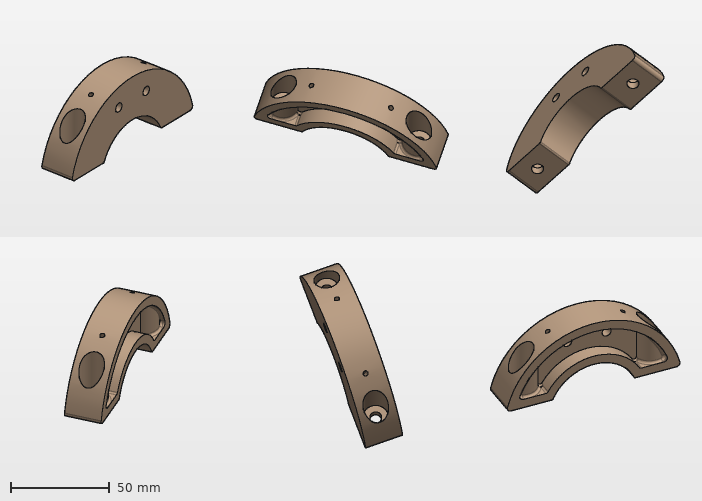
import cadquery as cq
import math

width = 20.0
height = 40.0
outer_radius = 50.0
inner_radius = outer_radius / 2
arc_center_z = height - outer_radius
outer_corner_radius = 2.0
inner_corner_radius = 1.0

wall = 5.0
pocket_depth = 7.95
pocket_outer_corner_radius = 2.0
pocket_inner_corner_radius = 1.5

screw_y = 36.0
screw_diameter = 6.0
counterbore_diameter = 13.0
counterbore_floor_z = wall
boss_wall = 2.0
boss_radius = counterbore_diameter / 2 + boss_wall
boss_fillet = 1.4

web_hole_diameter = 5.0
web_hole_y = 11.05
web_hole_z = 26.95
radial_hole_diameter = 2.5
radial_hole_angle = 25
radial_hole_depth = 2 * wall

mid_x = width / 2
tolerance = 0.001


def half_chord(radius, z):
    """Half width, along Y, of a circle about the arch axis at height z."""
    return math.sqrt(radius**2 - (z - arc_center_z) ** 2)


def arch_sector(big_radius, small_radius, floor_z, depth, outer_rounding, inner_rounding):
    """Ring segment above floor_z, extruded from X = 0, with its four corners rounded."""
    outer_y = half_chord(big_radius, floor_z)
    inner_y = half_chord(small_radius, floor_z)
    sector = (
        cq.Workplane("YZ")
        .moveTo(outer_y, floor_z)
        .threePointArc((0, arc_center_z + big_radius), (-outer_y, floor_z))
        .lineTo(-inner_y, floor_z)
        .threePointArc((0, arc_center_z + small_radius), (inner_y, floor_z))
        .close()
        .extrude(depth)
    )
    for corner_y, rounding in ((outer_y, outer_rounding), (inner_y, inner_rounding)):
        corners = [
            edge
            for edge in sector.edges("|X").vals()
            if abs(abs(edge.Center().y) - corner_y) < tolerance
        ]
        sector = sector.newObject(corners).fillet(rounding)
    return sector


def upright_cylinder(y, diameter, floor_z):
    """Vertical cylinder on the mid-width plane, from floor_z up past the arch."""
    return cq.Workplane("XY", origin=(mid_x, y, floor_z)).circle(diameter / 2).extrude(height)


def pocket():
    """Pocket volume around the two bosses, blended into the floor and outer wall."""
    volume = arch_sector(
        outer_radius - wall,
        inner_radius + wall,
        wall,
        pocket_depth,
        pocket_outer_corner_radius,
        pocket_inner_corner_radius,
    )
    for side in (-1, 1):
        volume = volume.cut(upright_cylinder(side * screw_y, 2 * boss_radius, 0))

    feet = [
        edge
        for edge in volume.edges().vals()
        if edge.geomType() != "LINE"
        and edge.BoundingBox().xlen > tolerance
    ]
    return volume.newObject(feet).fillet(boss_fillet)


def web_hole(y):
    """Hole through the full width, parallel to X."""
    return cq.Workplane("YZ").center(y, web_hole_z).circle(web_hole_diameter / 2).extrude(width)


def radial_hole(angle):
    """Blind hole drilled from the outer surface toward the arch axis."""
    return (
        cq.Workplane("XY", origin=(mid_x, 0, outer_radius - radial_hole_depth))
        .circle(radial_hole_diameter / 2)
        .extrude(2 * radial_hole_depth)
        .rotate((0, 0, 0), (1, 0, 0), angle)
        .translate((0, 0, arc_center_z))
    )


result = arch_sector(
    outer_radius, inner_radius, 0, width, outer_corner_radius, inner_corner_radius
).cut(pocket())

for side in (-1, 1):
    result = (
        result.cut(upright_cylinder(side * screw_y, screw_diameter, 0))
        .cut(upright_cylinder(side * screw_y, counterbore_diameter, counterbore_floor_z))
        .cut(web_hole(side * web_hole_y))
        .cut(radial_hole(side * radial_hole_angle))
    )